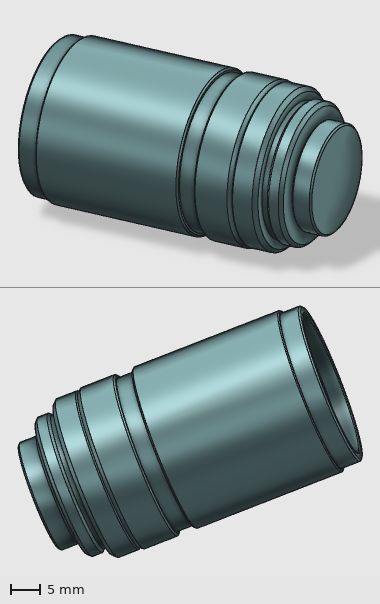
import cadquery as cq

length = 53.7
edge_chamfer = 0.3
same_point_tolerance = 0.0005

rim_radius = 14.2
recess_radius = 12.7
recess_depth = 2.85
recess_chamfer = 0.2

barrel_start = 3.65
barrel_end = 30.75
barrel_diameter = 29.5
barrel_radius = barrel_diameter / 2
barrel_front_chamfer = 0.2

waist_radius = 14.0
focus_ring_start = 33.8
focus_ring_end = 40.85
focus_ring_rear_length = 0.7

rear_ring_radius = 14.5
rear_ring_end = 45.6
rear_ring_front_chamfer = 0.25
rear_ring_rear_chamfer = 0.75
focus_ring_rear_drop = barrel_radius - (rear_ring_radius - rear_ring_front_chamfer)

neck_radius = 12.25
flange_start = 46.6
flange_end = 49.55
flange_radius = 12.75
flange_front_chamfer = flange_radius - neck_radius
flange_rear_chamfer = 0.65

relief_radius = 8.75
mount_start = 49.95
mount_radius = 9.85


def section(start, end, radius, front=(0, 0), rear=(0, 0)):
    """Outline points of one cylinder; front and rear chamfers are (length, drop)."""
    front_length, front_drop = front
    rear_length, rear_drop = rear
    points = [(start, radius - front_drop)]
    if front_length:
        points.append((start + front_length, radius))
    if rear_length:
        points.append((end - rear_length, radius))
    points.append((end, radius - rear_drop))
    return points


def equal(size):
    """A 45 degree chamfer."""
    return (size, size)


focus_ring_rear = (focus_ring_rear_length, focus_ring_rear_drop)

outline = [(0, 0)]
outline += section(0, barrel_start, rim_radius, front=equal(edge_chamfer))
outline += section(barrel_start, barrel_end, barrel_radius, equal(barrel_front_chamfer), equal(edge_chamfer))
outline += section(barrel_end, focus_ring_start, waist_radius)
outline += section(focus_ring_start, focus_ring_end, barrel_radius, equal(edge_chamfer), focus_ring_rear)
outline += section(
    focus_ring_end, rear_ring_end, rear_ring_radius,
    equal(rear_ring_front_chamfer), equal(rear_ring_rear_chamfer),
)
outline += section(rear_ring_end, flange_start, neck_radius)
outline += section(
    flange_start, flange_end, flange_radius,
    equal(flange_front_chamfer), equal(flange_rear_chamfer),
)
outline += section(flange_end, mount_start, relief_radius)
outline += section(mount_start, length, mount_radius, equal(edge_chamfer), equal(edge_chamfer))
outline.append((length, 0))


def revolve_about_x(points):
    """Solid of revolution about the X axis, skipping points shared by neighbouring sections."""
    distinct = [points[0]]
    for x, radius in points[1:]:
        last_x, last_radius = distinct[-1]
        if max(abs(x - last_x), abs(radius - last_radius)) > same_point_tolerance:
            distinct.append((x, radius))
    return cq.Workplane("XY").polyline(distinct).close().revolve(360, (0, 0, 0), (1, 0, 0))


recess_outline = [
    (0, 0),
    (0, recess_radius + recess_chamfer),
    (recess_chamfer, recess_radius),
    (recess_depth, recess_radius),
    (recess_depth, 0),
]

result = revolve_about_x(outline).cut(revolve_about_x(recess_outline))